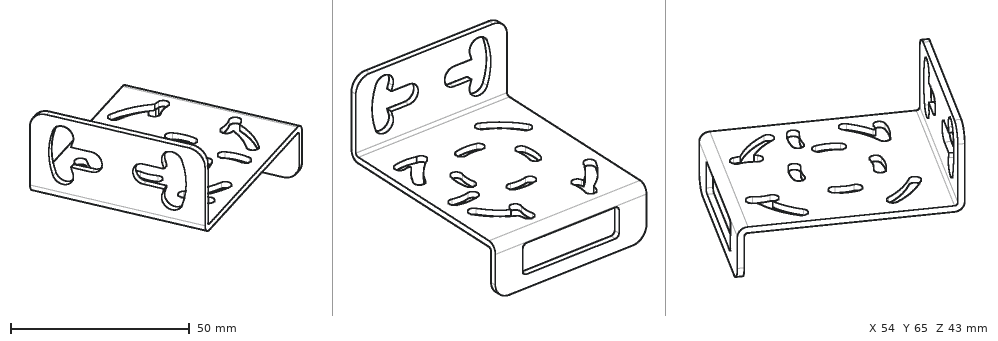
import cadquery as cq
import math

WIDTH = 54.0
DEPTH = 65.0
HEIGHT = 43.0
THICKNESS = 2.0
INNER_BEND_RADIUS = 1.0
OUTER_BEND_RADIUS = INNER_BEND_RADIUS + THICKNESS
CORNER_RADIUS = 5.0
PLATE_BOTTOM = 16.05
PLATE_TOP = PLATE_BOTTOM + THICKNESS
FRONT = -DEPTH / 2
BACK = DEPTH / 2

PLATE_SLOT_WIDTH = 3.5
SMALL_SLOT_HALF_ANGLE = 15.0
LARGE_SLOT_HALF_ANGLE = 15.0
CENTRAL_RING = (0, -1.5, 12.0, (0, 90, 180, 270))
BACK_RING = (-1.5, 22.5, 11.5, (0, 180))
SIDE_RING = (18.0, -5.5, 12.75, (90, 270))
LARGE_RING_RADIUS = 24.45
RISING_PAIR = (0, 0.45, LARGE_RING_RADIUS, (49.2, 229.2))
FALLING_PAIR = (0, 2.5, LARGE_RING_RADIUS, (139.3, 319.3))

TIP_X = 18.3
TIP_Y = -16.25
TIP_RADIUS = 0.5

T_CENTER_Z = 31.1
T_SLOT_WIDTH = 6.5
T_ARC_RADIUS = 17.95
T_ARC_HALF_ANGLE = 20.0
T_STEM_INNER_X = 8.0

WINDOW_WIDTH = 34.3
WINDOW_BOTTOM = 4.5
WINDOW_HEIGHT = 10.15
WINDOW_CORNER_RADIUS = 1.3


def polar(center_x, center_y, radius, degrees):
    angle = math.radians(degrees)
    return (center_x + radius * math.cos(angle), center_y + radius * math.sin(angle))


def arc_slot(plane, center, radius, direction, half_angle, width, length):
    """Extrude a round-ended slot that follows an arc about center."""
    inner = radius - width / 2
    outer = radius + width / 2
    start = direction - half_angle
    end = direction + half_angle
    start_cap = polar(*polar(*center, radius, start), width / 2, start - 90)
    end_cap = polar(*polar(*center, radius, end), width / 2, end + 90)
    return (
        plane.moveTo(*polar(*center, inner, start))
        .threePointArc(polar(*center, inner, direction), polar(*center, inner, end))
        .threePointArc(end_cap, polar(*center, outer, end))
        .threePointArc(polar(*center, outer, direction), polar(*center, outer, start))
        .threePointArc(start_cap, polar(*center, inner, start))
        .close()
        .extrude(length)
    )


def bent_sheet():
    sheet = (
        cq.Workplane("YZ", origin=(-WIDTH / 2, 0, 0))
        .moveTo(FRONT, HEIGHT)
        .lineTo(FRONT, PLATE_BOTTOM)
        .lineTo(BACK - THICKNESS, PLATE_BOTTOM)
        .lineTo(BACK - THICKNESS, 0)
        .lineTo(BACK, 0)
        .lineTo(BACK, PLATE_TOP)
        .lineTo(FRONT + THICKNESS, PLATE_TOP)
        .lineTo(FRONT + THICKNESS, HEIGHT)
        .close()
        .extrude(WIDTH)
    )
    outer_bends = (FRONT, PLATE_BOTTOM), (BACK, PLATE_TOP)
    inner_bends = (FRONT + THICKNESS, PLATE_TOP), (BACK - THICKNESS, PLATE_BOTTOM)
    for bends, radius in ((outer_bends, OUTER_BEND_RADIUS), (inner_bends, INNER_BEND_RADIUS)):
        for y, z in bends:
            sheet = sheet.edges(cq.NearestToPointSelector((0, y, z))).fillet(radius)
    return sheet.faces(">Z or <Z").edges("|Y").fillet(CORNER_RADIUS)


def ring_slots(ring, half_angle):
    center_x, center_y, radius, directions = ring
    plane = cq.Workplane("XY", origin=(0, 0, PLATE_BOTTOM))
    slots = cq.Workplane()
    for direction in directions:
        slots = slots.add(
            arc_slot(plane, (center_x, center_y), radius, direction, half_angle, PLATE_SLOT_WIDTH, THICKNESS)
        )
    return slots.combine()


def t_opening():
    """T-shaped opening on the +X side: a curved slot with a stem towards the middle."""
    plane = cq.Workplane("XZ", origin=(0, FRONT + THICKNESS, T_CENTER_Z))
    head = arc_slot(plane, (0, 0), T_ARC_RADIUS, 0, T_ARC_HALF_ANGLE, T_SLOT_WIDTH, THICKNESS)
    stem_span = T_ARC_RADIUS - T_STEM_INNER_X
    stem = (
        plane.center(T_STEM_INNER_X + stem_span / 2, 0)
        .slot2D(stem_span + T_SLOT_WIDTH, T_SLOT_WIDTH)
        .extrude(THICKNESS)
    )
    return head.union(stem)


def window():
    return (
        cq.Workplane("XZ", origin=(0, BACK, WINDOW_BOTTOM + WINDOW_HEIGHT / 2))
        .rect(WINDOW_WIDTH, WINDOW_HEIGHT)
        .extrude(THICKNESS)
        .edges("|Y")
        .fillet(WINDOW_CORNER_RADIUS)
    )


result = bent_sheet()
for small_ring in (CENTRAL_RING, BACK_RING, SIDE_RING):
    result = result.cut(ring_slots(small_ring, SMALL_SLOT_HALF_ANGLE))
for large_pair in (RISING_PAIR, FALLING_PAIR):
    result = result.cut(ring_slots(large_pair, LARGE_SLOT_HALF_ANGLE))
right_opening = t_opening()
result = result.cut(right_opening).cut(right_opening.mirror("YZ")).cut(window())
sharp_tip = cq.NearestToPointSelector((TIP_X, TIP_Y, PLATE_BOTTOM + THICKNESS / 2))
result = result.edges("|Z").edges(sharp_tip).fillet(TIP_RADIUS)